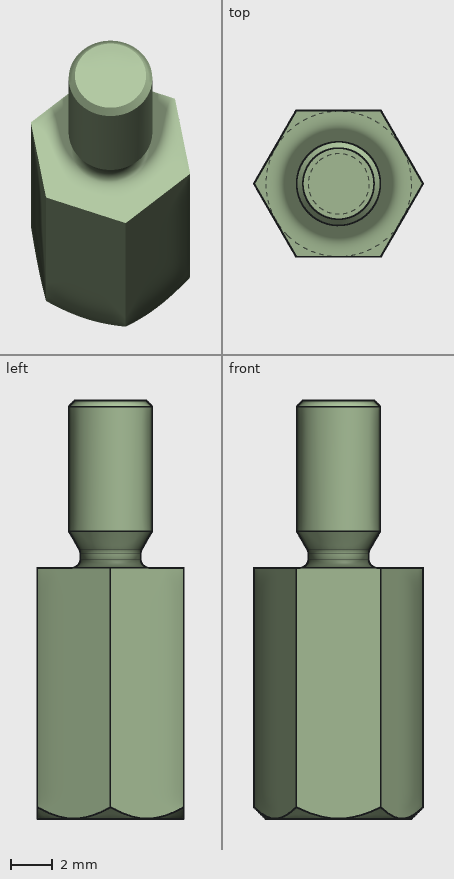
import cadquery as cq
import math

hex_sides = 6
across_flats = 7.0
across_corners = across_flats / math.cos(math.pi / hex_sides)
body_length = 12.0
bottom_face_diameter = 6.95
bottom_chamfer_angle = 45.0

total_length = 20.0
stud_diameter = 4.0
tip_chamfer = 0.3

full_turn = 360

undercut_diameter = 2.9
undercut_length = 1.75
undercut_fillet = 0.4
undercut_cone_angle = 30.0


def make_body():
    """Hexagonal prism with its lower corners turned off by a cone."""
    prism = cq.Workplane("XY").polygon(hex_sides, across_corners).extrude(body_length)
    corner_radius = across_corners / 2
    bottom_radius = bottom_face_diameter / 2
    cone_height = (corner_radius - bottom_radius) * math.tan(math.radians(bottom_chamfer_angle))
    turned_blank = (
        cq.Workplane("XZ")
        .lineTo(bottom_radius, 0)
        .lineTo(corner_radius, cone_height)
        .lineTo(corner_radius, body_length)
        .lineTo(0, body_length)
        .close()
        .revolve(full_turn, (0, 0, 0), (0, 1, 0))
    )
    return prism.intersect(turned_blank)


def make_stud():
    """Turned stud: filleted undercut, conical shoulder, shank and chamfered tip."""
    stud_radius = stud_diameter / 2
    neck_radius = undercut_diameter / 2
    cone_angle = math.radians(undercut_cone_angle)
    cone_top = body_length + undercut_length
    cone_bottom = cone_top - (stud_radius - neck_radius) / math.tan(cone_angle)

    tangent_length = undercut_fillet * math.tan(cone_angle / 2)
    neck_top = cone_bottom - tangent_length
    fillet_end = (
        neck_radius + tangent_length * math.sin(cone_angle),
        cone_bottom + tangent_length * math.cos(cone_angle),
    )

    profile = (
        cq.Workplane("XZ")
        .moveTo(0, body_length)
        .lineTo(neck_radius + undercut_fillet, body_length)
        .radiusArc((neck_radius, body_length + undercut_fillet), undercut_fillet)
        .lineTo(neck_radius, neck_top)
        .radiusArc(fillet_end, undercut_fillet)
        .lineTo(stud_radius, cone_top)
        .lineTo(stud_radius, total_length - tip_chamfer)
        .lineTo(stud_radius - tip_chamfer, total_length)
        .lineTo(0, total_length)
        .close()
    )
    return profile.revolve(full_turn, (0, 0, 0), (0, 1, 0))


result = make_body().union(make_stud())